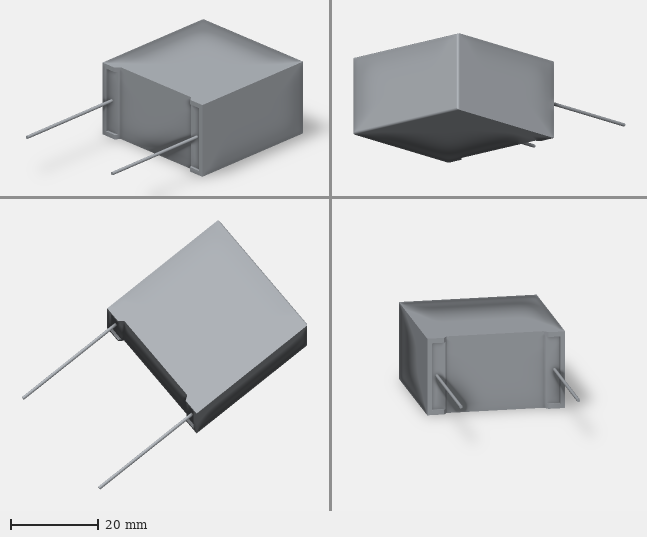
import cadquery as cq


total_length = 60.1
case_width = 32.3
case_height = 18.2
case_length = 33.1
back_fillet = 0.5
wall = 1.15

relief_depth = 1.15
relief_floor_width = 22.8
relief_mouth_width = 24.4

resin_recess = 0.65
front_wall = wall

lead_pitch = 27.5
lead_diameter = 0.8

cavity_width = case_width - 2 * wall
cavity_height = case_height - 2 * wall
cavity_back = case_length - wall
core_front = relief_depth + front_wall
relief_slope_run = (relief_mouth_width - relief_floor_width) / 2
window_inner_x = relief_floor_width / 2 + relief_slope_run * (1 - resin_recess / relief_depth)
window_width = cavity_width / 2 - window_inner_x
window_center_x = window_inner_x + window_width / 2
lead_length = total_length - case_length + resin_recess


def block(width, height, y_front, y_back, center_x=0):
    """Box centred on Z, spanning y_front to y_back."""
    return (
        cq.Workplane("XY")
        .box(width, y_back - y_front, height, centered=(True, False, True))
        .translate((center_x, y_front, 0))
    )


def make_relief():
    """Trapezoidal channel across the full height, between the feet."""
    return (
        cq.Workplane("XY")
        .polyline([
            (-relief_mouth_width / 2, 0),
            (relief_mouth_width / 2, 0),
            (relief_floor_width / 2, relief_depth),
            (-relief_floor_width / 2, relief_depth),
        ])
        .close()
        .extrude(case_height / 2, both=True)
    )


def make_filled_space(y_front):
    """Inner cavity with one window at each foot, opening at y_front."""
    space = block(cavity_width, cavity_height, core_front, cavity_back)
    for side in (-1, 1):
        window = block(window_width, cavity_height, y_front, core_front, side * window_center_x)
        space = space.union(window)
    return space


def make_case():
    outer = block(case_width, case_height, 0, case_length)
    outer = outer.faces(">Y").edges().fillet(back_fillet)
    return outer.cut(make_relief()).cut(make_filled_space(0))


def make_resin():
    """Potted core; its two pads show in the windows of the feet."""
    return make_filled_space(resin_recess)


def make_lead(center_x):
    """Round wire standing on the resin surface."""
    return (
        cq.Workplane("XZ", origin=(center_x, resin_recess, 0))
        .circle(lead_diameter / 2)
        .extrude(lead_length)
    )


case = make_case()
resin = make_resin()
leads = [make_lead(side * lead_pitch / 2) for side in (-1, 1)]

result = cq.Compound.makeCompound([case.val(), resin.val(), *[lead.val() for lead in leads]])